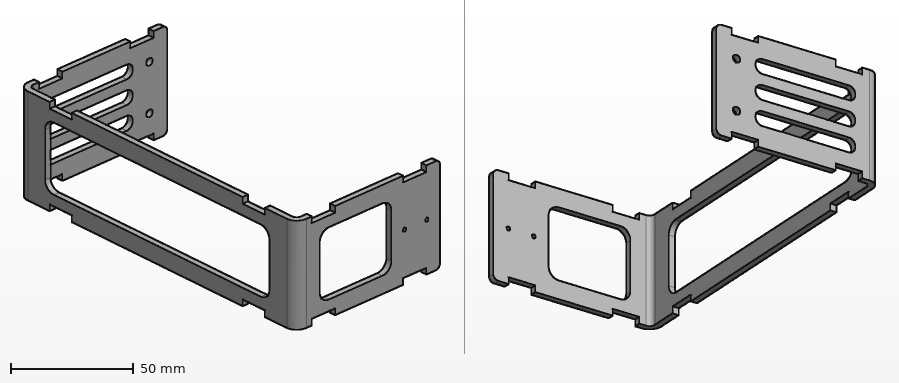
import cadquery as cq

WIDTH = 164.98
DEPTH = 81.28
HEIGHT = 50.55
THICKNESS = 3.1
BEND_INNER_RADIUS = 2.54
BEND_OUTER_RADIUS = BEND_INNER_RADIUS + THICKNESS
TIP_RADIUS = 2.54


NOTCH_DEPTH = 3.1
NOTCH_LENGTH = 13.1
FRONT_NOTCH_OFFSET = 57.28
SIDE_NOTCH_SETBACKS = (15.5, 67.0)

WINDOW_HEIGHT = 33.4
WINDOW_CORNER_RADIUS = 5.08
FRONT_WINDOW_LENGTH = 133.1
RIGHT_WINDOW_START = 13.4
RIGHT_WINDOW_END = 53.8

SLOT_START = 12.4
SLOT_END = 61.8
SLOT_HEIGHT = 6.8
SLOT_PITCH = 11.9
MOUNT_HOLE_DIAMETER = 3.5
MOUNT_HOLE_SETBACK = 71.2
MOUNT_HOLE_SPACING = 2 * SLOT_PITCH

PIN_HOLE_DIAMETER = 1.8
PIN_HOLE_SETBACKS = (61.2, 73.8)

SIDE_WALL_X = (WIDTH - THICKNESS) / 2
FRONT_WALL_Y = THICKNESS / 2
CUT_REACH = 2 * THICKNESS


def rounded_block(width, depth, front_y, corner_radius):
    """Full-height block, centred on X, with its two front vertical edges rounded."""
    return (
        cq.Workplane("XY", origin=(0, front_y, 0))
        .box(width, depth, HEIGHT, centered=(True, False, True))
        .edges("|Z and <Y")
        .fillet(corner_radius)
    )


def bent_channel():
    """Front wall along X with a side wall bent back at each end."""
    outer = rounded_block(WIDTH, DEPTH, 0, BEND_OUTER_RADIUS)
    inner = rounded_block(WIDTH - 2 * THICKNESS, DEPTH, THICKNESS, BEND_INNER_RADIUS)
    return outer.cut(inner).edges("|X and >Y").fillet(TIP_RADIUS)


def edge_notches(edge_z):
    """Notch cutters for the three walls along the edge at height edge_z."""
    front_sites = [(side * FRONT_NOTCH_OFFSET, FRONT_WALL_Y) for side in (-1, 1)]
    side_sites = [
        (side * SIDE_WALL_X, setback) for side in (-1, 1) for setback in SIDE_NOTCH_SETBACKS
    ]
    edge = cq.Workplane("XY", origin=(0, 0, edge_z))
    front_cutters = edge.pushPoints(front_sites).box(NOTCH_LENGTH, THICKNESS, 2 * NOTCH_DEPTH)
    side_cutters = edge.pushPoints(side_sites).box(THICKNESS, NOTCH_LENGTH, 2 * NOTCH_DEPTH)
    return front_cutters.add(side_cutters).combine()


def window(wall, length):
    """Rounded rectangular opening centred on the origin of a wall's workplane."""
    outline = cq.Sketch().rect(length, WINDOW_HEIGHT).vertices().fillet(WINDOW_CORNER_RADIUS)
    return wall.placeSketch(outline).extrude(CUT_REACH, both=True)


def side_wall(x, setback=0):
    """Workplane in a side wall's mid-plane; its local axes are Y and Z."""
    return cq.Workplane("YZ", origin=(x, setback, 0))


def front_window():
    """Opening through the middle of the front wall."""
    return window(cq.Workplane("XZ", origin=(0, FRONT_WALL_Y, 0)), FRONT_WINDOW_LENGTH)


def right_window():
    """Opening through the right wall."""
    center = (RIGHT_WINDOW_START + RIGHT_WINDOW_END) / 2
    return window(side_wall(SIDE_WALL_X, center), RIGHT_WINDOW_END - RIGHT_WINDOW_START)


def left_slots():
    """Three stacked round-ended slots through the left wall."""
    center = (SLOT_START + SLOT_END) / 2
    return (
        side_wall(-SIDE_WALL_X, center)
        .pushPoints([(0, row * SLOT_PITCH) for row in (-1, 0, 1)])
        .slot2D(SLOT_END - SLOT_START, SLOT_HEIGHT)
        .extrude(CUT_REACH, both=True)
    )


def round_holes(wall, sites, diameter):
    """Round through-holes at (setback, height) sites on a side wall."""
    return wall.pushPoints(sites).circle(diameter / 2).extrude(CUT_REACH, both=True)


def left_mount_holes():
    """Two mounting holes behind the slots of the left wall."""
    sites = [(MOUNT_HOLE_SETBACK, end * MOUNT_HOLE_SPACING / 2) for end in (-1, 1)]
    return round_holes(side_wall(-SIDE_WALL_X), sites, MOUNT_HOLE_DIAMETER)


def right_pin_holes():
    """Two small holes behind the window of the right wall."""
    sites = [(setback, 0) for setback in PIN_HOLE_SETBACKS]
    return round_holes(side_wall(SIDE_WALL_X), sites, PIN_HOLE_DIAMETER)


result = (
    bent_channel()
    .cut(edge_notches(HEIGHT / 2))
    .cut(edge_notches(-HEIGHT / 2))
    .cut(front_window())
    .cut(right_window())
    .cut(left_slots())
    .cut(left_mount_holes())
    .cut(right_pin_holes())
)